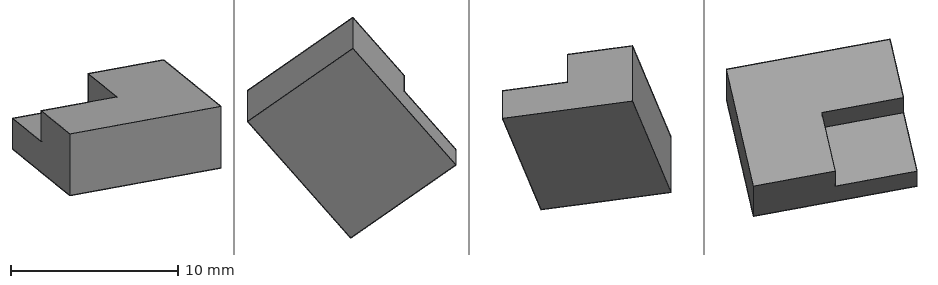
import cadquery as cq

width = 8.0
length = 10.0
height = 4.0

notch_width = width / 2
notch_length = length / 2
notch_depth = height / 2

block = cq.Workplane("XY").box(width, length, height, centered=False)

notch = (
    cq.Workplane("XY")
    .workplane(offset=height - notch_depth)
    .rect(notch_width, notch_length, centered=False)
    .extrude(notch_depth)
)

result = block.cut(notch)